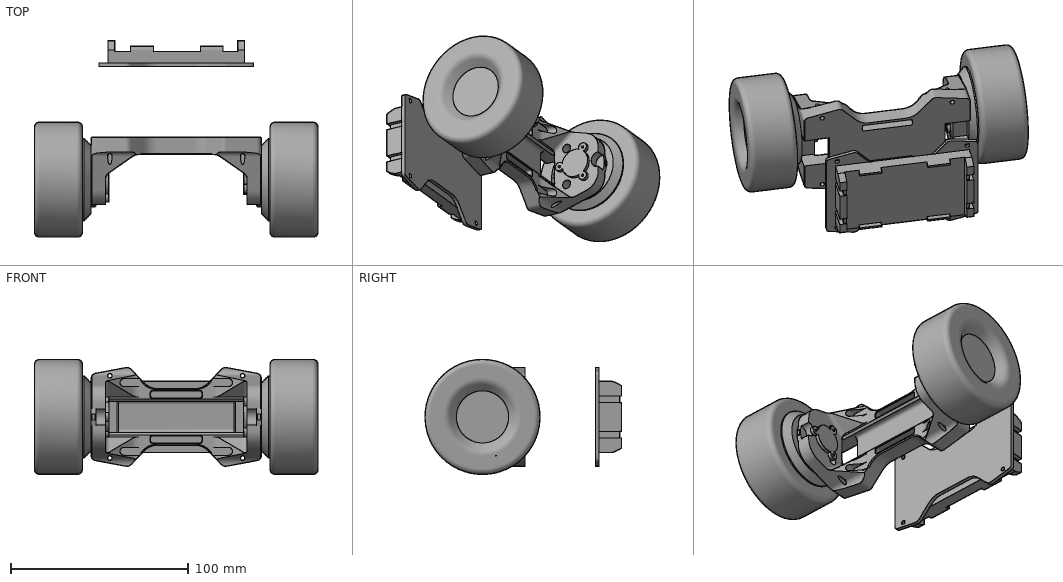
import cadquery as cq
import math


pick_margin = 0.2
unlimited = 320.0

wheel_radius = 32.5
wheel_outer_x = 80.0
wheel_width = 27.2
tread_edge_radius = 3.0
dish_rim_radius = 19.7
dish_floor_radius = 14.7
dish_depth = 5.3
dish_lip_radius = 5.1
hub_radius = 23.2
hub_rim_width = 0.8
hub_end_radius = 19.2

frame_half_width = 48.0
outline_corner_z = 24.2
outline_peak_x, outline_peak_z = 26.7, 28.2
waist_x, waist_z = 15.0, 16.0
corner_radius = 3.0
peak_radius = 3.2
waist_radius = 10.2
mount_hole_x, mount_hole_z = 37.5, 23.2
mount_hole_diameter = 2.4

frame_back_y = 24.0
bar_front_y = 14.0
ear_front_y = 15.7
bar_edge_chamfer = 0.6
window_half_height = 8.8
window_edge_chamfer = 1.3
panel_half_length = 33.3
panel_end_chamfer = 0.6
panel_front_y = 19.2
panel_fillet = 2.0
strap_slot_length = 28.8
strap_slot_height = 3.8
strap_slot_z = 12.6
strap_slot_corner = 1.0
strap_slot_chamfer = 0.3

arm_inner_x = 39.8
arm_end_y = -14.0
arm_end_radius = 10.4
arm_edge_chamfer = 0.5
arm_shoulder_y, arm_shoulder_z = 12.6, 23.2
arm_slope = 0.29
shoulder_fillet = 4.0
rib_inner_x = 23.2
rib_corner_y = 2.4
rib_corner_fillet = 4.0
rib_foot_x = 20.0
rib_foot_fillet = 6.4
rib_base_z = 11.2
rib_inner_slope = 0.85
rib_inner_fillet = 2.4
rib_slot_z = 19.4
rib_slot_width = 4.5
rib_slot_end_x = 31.7

arm_hole_circle = 12.8
arm_hole_angle = 60
arm_hole_diameter = 5.1
notch_radius = 4.5
tab_inner_x = 45.3
tab_radius = 14.9
tab_half_height = 5.1
tab_root = 1.6
nub_radius = 15.4
nub_half_height = 1.8
nub_margin = 0.5

plate_thickness = 2.0
plate_radius = 8.3
lug_count = 3
lug_circle = 10.0
lug_radius = 2.5
lug_hole_diameter = 1.3

board_front_y = 63.7
board_thickness = 2.0
board_half_width = 43.7
board_corner_radius = 2.0

holder_back_y = 78.4
holder_half_length = 38.5
holder_half_height = 20.2
holder_body_y = 72.3
holder_post_thickness = 4.0
post_taper_y = 73.0
post_bulge_y, post_bulge_half_height = 75.5, 19.2
post_tip_half_height = 17.6
post_groove_z = 10.0
post_groove_width = 3.7
post_groove_depth = 2.4
post_notch_depth = 1.0
clip_y = 75.2
clip_spans = ((-26.0, -12.8), (13.6, 26.4))
clip_thickness = 2.0


def box(x0, x1, y0, y1, z0, z1):
    """A block between two opposite corners."""
    return cq.Workplane("XY").box(x1 - x0, y1 - y0, z1 - z0, centered=False).translate((x0, y0, z0))


def around(x=None, y=None, z=None):
    """A selector for items centred at the given coordinates; one left out may be anything."""
    low = [-unlimited if c is None else c - pick_margin for c in (x, y, z)]
    high = [unlimited if c is None else c + pick_margin for c in (x, y, z)]
    return cq.selectors.BoxSelector(low, high)


def both_ends(right):
    """A shape joined with its mirror image in the YZ plane."""
    return right.union(right.mirror("YZ"))


def along_y(sketch, y0, y1):
    """Extrude an XZ workplane's closed wires from y0 to y1."""
    return sketch.extrude(y0 - y1).translate((0, y0, 0))


def outline_block(half_width, corner_fillet, y0, y1):
    """The waisted outline, with the peak slope carried out to half_width."""
    peak_slope = (outline_peak_z - outline_corner_z) / (frame_half_width - outline_peak_x)
    corner_z = outline_peak_z - peak_slope * (half_width - outline_peak_x)
    upper = [
        (half_width, corner_z),
        (outline_peak_x, outline_peak_z),
        (waist_x, waist_z),
        (-waist_x, waist_z),
        (-outline_peak_x, outline_peak_z),
        (-half_width, corner_z),
    ]
    lower = [(x, -z) for x, z in reversed(upper)]
    block = along_y(cq.Workplane("XZ").polyline(upper + lower).close(), y0, y1)

    corners = (
        (half_width, corner_z, corner_fillet),
        (outline_peak_x, outline_peak_z, peak_radius),
        (waist_x, waist_z, waist_radius),
    )
    for x, z, radius in corners:
        for side_x in (1, -1):
            for side_z in (1, -1):
                block = block.edges("|Y").edges(around(x=side_x * x, z=side_z * z)).fillet(radius)
    return block


def mount_holes(y0, y1):
    """Four screw holes through the frame and the board."""
    span = cq.Workplane("XZ").rect(2 * mount_hole_x, 2 * mount_hole_z, forConstruction=True)
    return along_y(span.vertices().circle(mount_hole_diameter / 2), y0, y1)


def wheel():
    """The right wheel: dished outer face, rounded tread and a tapered hub on the inner side."""
    inner_x = wheel_outer_x - wheel_width
    dish_x = wheel_outer_x - dish_depth
    profile = [
        (frame_half_width, 0),
        (frame_half_width, hub_end_radius),
        (inner_x - hub_rim_width, hub_radius),
        (inner_x, hub_radius),
        (inner_x, wheel_radius),
        (wheel_outer_x, wheel_radius),
        (wheel_outer_x, dish_rim_radius),
        (dish_x, dish_floor_radius),
        (dish_x, 0),
    ]
    body = cq.Workplane("XZ").polyline(profile).close().revolve(360, (0, 0, 0), (1, 0, 0))
    body = body.edges("%CIRCLE").edges(cq.selectors.RadiusNthSelector(-1)).fillet(tread_edge_radius)
    outer_circles = body.faces(">X").edges("%CIRCLE")
    return outer_circles.edges(cq.selectors.RadiusNthSelector(0)).fillet(dish_lip_radius)


def arm_side_profile():
    """The right ear, arm and ribs as one prism along X, still solid between its two slopes."""

    def slope_z(y):
        return arm_shoulder_z - arm_slope * (arm_shoulder_y - y)

    upper = [
        (frame_back_y, outline_peak_z),
        (ear_front_y, outline_peak_z),
        (ear_front_y, slope_z(ear_front_y)),
        (arm_end_y, slope_z(arm_end_y)),
    ]
    lower = [(y, -z) for y, z in reversed(upper)]
    prism = cq.Workplane("YZ").workplane(offset=rib_foot_x).polyline(upper + lower).close()
    prism = prism.extrude(frame_half_width - rib_foot_x)
    prism = prism.edges("|X").edges(around(y=arm_end_y)).fillet(arm_end_radius)
    root_z = slope_z(ear_front_y)
    for side in (1, -1):
        prism = prism.edges("|X").edges(around(y=ear_front_y, z=side * root_z)).fillet(shoulder_fillet)
    return prism


def right_arm():
    """The right arm with its two braces, cut from the prism."""
    plan = [
        (rib_foot_x, frame_back_y),
        (frame_half_width, frame_back_y),
        (frame_half_width, arm_end_y),
        (arm_inner_x, arm_end_y),
        (arm_inner_x, rib_corner_y),
        (rib_inner_x, bar_front_y),
        (rib_foot_x, bar_front_y),
    ]
    height = 2 * outline_peak_z
    footprint = cq.Workplane("XY").polyline(plan).close().extrude(height).translate((0, 0, -height / 2))
    for x, y, radius in (
        (arm_inner_x, rib_corner_y, rib_corner_fillet),
        (rib_inner_x, bar_front_y, rib_foot_fillet),
    ):
        footprint = footprint.edges("|Z").edges(around(x=x, y=y)).fillet(radius)
    arm = arm_side_profile().intersect(footprint)

    flare_z = rib_base_z + rib_inner_slope * (bar_front_y - arm_end_y)
    flare = [
        (bar_front_y, rib_base_z),
        (arm_end_y, flare_z),
        (arm_end_y, -flare_z),
        (bar_front_y, -rib_base_z),
    ]
    opening = cq.Workplane("YZ").polyline(flare).close().extrude(arm_inner_x)
    opening = opening.faces(">X").edges("not |Z").fillet(rib_inner_fillet)
    arm = arm.cut(opening)
    arm = arm.cut(box(0, arm_inner_x, bar_front_y, frame_back_y, -rib_base_z, rib_base_z))
    arm = arm.faces(">X").edges().chamfer(arm_edge_chamfer)

    window = box(0, frame_half_width, bar_front_y, frame_back_y, -window_half_height, window_half_height)
    arm = arm.cut(window)

    for side in (1, -1):
        slot_start = 2 * rib_inner_x - rib_slot_end_x
        slot = cq.Workplane("XZ").center(rib_inner_x, side * rib_slot_z)
        slot = slot.slot2D(rib_slot_end_x - slot_start, rib_slot_width)
        arm = arm.cut(along_y(slot, 0, bar_front_y))
    return arm


def arm_holes():
    """Two round holes and the open notch in the right arm."""
    inner_face = cq.Workplane("YZ").workplane(offset=arm_inner_x)
    angle = math.radians(arm_hole_angle)
    hole_y, hole_z = arm_hole_circle * math.cos(angle), arm_hole_circle * math.sin(angle)
    holes = inner_face.pushPoints([(hole_y, hole_z), (hole_y, -hole_z)]).circle(arm_hole_diameter / 2)
    holes = holes.extrude(frame_half_width - arm_inner_x)
    notch = inner_face.center(arm_end_y, 0).circle(notch_radius).extrude(tab_inner_x - arm_inner_x)
    return holes.union(notch)


def arm_tab():
    """The rounded tab and its nub at the end of the right arm, both centred on the wheel axis."""

    def sector(radius, half_height, x0, x1):
        disc = cq.Workplane("YZ").workplane(offset=x0).circle(radius).extrude(x1 - x0)
        return disc.intersect(box(x0, x1, -radius, arm_end_y + tab_root, -half_height, half_height))

    tab = sector(tab_radius, tab_half_height, tab_inner_x, frame_half_width)
    nub = sector(nub_radius, nub_half_height, tab_inner_x + nub_margin, frame_half_width - nub_margin)
    return tab.union(nub)


def back_bar():
    """The bar across the back, with its window and strap slots."""
    z = outline_peak_z
    bar = box(-rib_inner_x, rib_inner_x, bar_front_y, frame_back_y, -z, z)
    bar = bar.union(box(-arm_inner_x, arm_inner_x, bar_front_y, frame_back_y, -rib_base_z, rib_base_z))
    bar = bar.union(box(-arm_inner_x, arm_inner_x, ear_front_y, frame_back_y, -z, z))

    window_z = window_half_height
    bar = bar.cut(box(-arm_inner_x, arm_inner_x, bar_front_y, frame_back_y, -window_z, window_z))
    for side in (1, -1):
        rim = around(x=0, y=bar_front_y, z=side * window_half_height)
        bar = bar.edges("|X").edges(rim).chamfer(window_edge_chamfer)
    bar = bar.union(window_panel())

    for side in (1, -1):
        slot = cq.Workplane("XZ").center(0, side * strap_slot_z).rect(strap_slot_length, strap_slot_height)
        slot = along_y(slot, bar_front_y, frame_back_y).edges("|Y").fillet(strap_slot_corner)
        bar = bar.cut(slot)
        end_x, low_z, high_z = strap_slot_length / 2, -strap_slot_height / 2, strap_slot_height / 2
        rim = cq.selectors.BoxSelector(
            (-end_x - pick_margin, bar_front_y - pick_margin, side * strap_slot_z + low_z - pick_margin),
            (end_x + pick_margin, bar_front_y + pick_margin, side * strap_slot_z + high_z + pick_margin),
        )
        bar = bar.edges(rim).chamfer(strap_slot_chamfer)
    return bar


def window_panel():
    """The panel behind the window, blended into the window's upper and lower sides."""
    block_front_y = panel_front_y - panel_fillet
    half_z = window_half_height
    panel = box(-panel_half_length, panel_half_length, block_front_y, frame_back_y, -half_z, half_z)
    inner_half_z = half_z - panel_fillet
    trough = box(-panel_half_length, panel_half_length, block_front_y, panel_front_y, -inner_half_z, inner_half_z)
    for side in (1, -1):
        round_bar = cq.Workplane("YZ").workplane(offset=-panel_half_length)
        round_bar = round_bar.center(block_front_y, side * inner_half_z).circle(panel_fillet)
        trough = trough.union(round_bar.extrude(2 * panel_half_length))
    panel = panel.cut(trough)
    for side in (1, -1):
        end = around(x=side * panel_half_length, y=panel_front_y)
        panel = panel.edges("|Z").edges(end).chamfer(panel_end_chamfer)
    return panel


def frame():
    bar_outline = outline_block(frame_half_width, corner_radius, bar_front_y, frame_back_y)
    bar_outline = bar_outline.faces("<Y").chamfer(bar_edge_chamfer)
    arm_outline = outline_block(frame_half_width, corner_radius, arm_end_y, frame_back_y)
    bar = back_bar().intersect(bar_outline)
    body = bar.union(both_ends(right_arm()).intersect(arm_outline))
    body = body.cut(both_ends(arm_holes())).union(both_ends(arm_tab()))
    return body.cut(mount_holes(arm_end_y, frame_back_y))


def motor_plate():
    """The right motor plate: a disc with three screw lugs, on the inner face of the arm."""
    at = cq.Workplane("YZ").workplane(offset=arm_inner_x - plate_thickness)
    plate = at.circle(plate_radius).extrude(plate_thickness)
    lugs = at.polarArray(lug_circle, 0, 360, lug_count).circle(lug_radius).extrude(plate_thickness)
    holes = at.polarArray(lug_circle, 0, 360, lug_count).circle(lug_hole_diameter / 2).extrude(plate_thickness)
    return plate.union(lugs).cut(holes)


def board():
    back_y = board_front_y + board_thickness
    plate = outline_block(board_half_width, board_corner_radius, board_front_y, back_y)
    return plate.cut(mount_holes(board_front_y, back_y))


def holder():
    front_y = board_front_y + board_thickness
    half_x, half_z = holder_half_length, holder_half_height
    body = box(-half_x, half_x, front_y, holder_body_y, -half_z, half_z)
    post_x = holder_half_length - holder_post_thickness
    end_profile = (
        cq.Workplane("YZ")
        .moveTo(front_y, holder_half_height)
        .lineTo(post_taper_y, holder_half_height)
        .threePointArc((post_bulge_y, post_bulge_half_height), (holder_back_y, post_tip_half_height))
        .lineTo(holder_back_y, -post_tip_half_height)
        .threePointArc((post_bulge_y, -post_bulge_half_height), (post_taper_y, -holder_half_height))
        .lineTo(front_y, -holder_half_height)
        .close()
    )
    full_length = both_ends(end_profile.extrude(holder_half_length))
    between_posts = box(-post_x, post_x, front_y, holder_back_y, -half_z, half_z)
    body = body.union(full_length.cut(between_posts))

    for x0, x1 in clip_spans:
        for low_z in (-holder_half_height, holder_half_height - clip_thickness):
            clip = box(x0, x1, front_y, clip_y, low_z, low_z + clip_thickness)
            body = body.union(clip.intersect(full_length))

    for centre_z in (-post_groove_z, post_groove_z):
        low_z, high_z = centre_z - post_groove_width / 2, centre_z + post_groove_width / 2
        groove_x = holder_half_length - post_groove_depth
        groove = box(groove_x, holder_half_length, front_y, holder_back_y, low_z, high_z)
        notch = box(post_x, holder_half_length, holder_back_y - post_notch_depth, holder_back_y, low_z, high_z)
        body = body.cut(both_ends(groove.union(notch)))
    return body


chassis = frame()
half_turns = (0, 180)
wheels = [wheel().rotate((0, 0, 0), (0, 0, 1), turn) for turn in half_turns]
motor_plates = [motor_plate().rotate((0, 0, 0), (0, 0, 1), turn) for turn in half_turns]
circuit_board = board()
battery_holder = holder()

result = cq.Compound.makeCompound([
    chassis.val(),
    *[body.val() for body in wheels],
    *[body.val() for body in motor_plates],
    circuit_board.val(),
    battery_holder.val(),
])